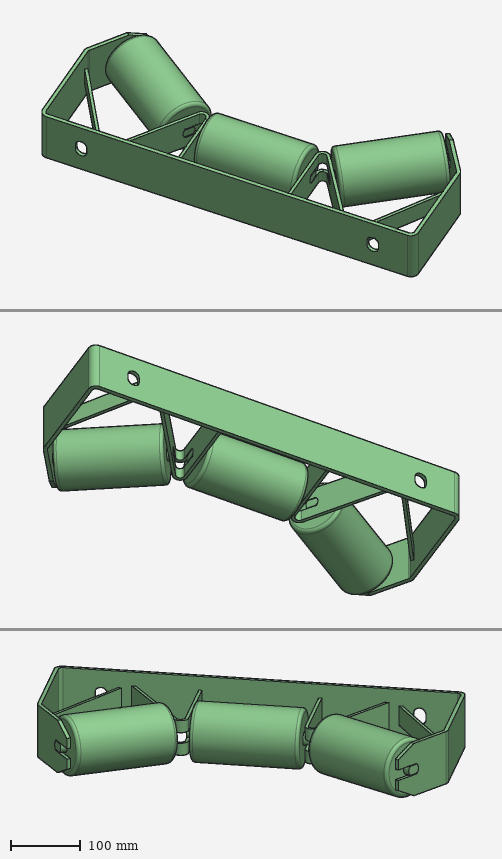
import cadquery as cq
import math

frame_length = 600.0
frame_height = 81.0
frame_thickness = 6.0
frame_bend_radius = 12.0
side_corner_y = 153.5
end_plate_length = 101.0
end_chamfer_along = 32.0
end_chamfer_height = 17.0
mount_slot_width = 18.0
mount_slot_height = 27.0
mount_slot_spacing = 465.5

roller_diameter = 89.0
roller_length = 161.0
roller_rounding = 5.5
roller_gap = 5.0
shaft_diameter = 20.0
shaft_flats = 14.0
shoulder_gap = 1.0
trough_angle = 35.0
forward_tilt = 2.5
center_roller_y = 99.0
wing_axis_along = 69.5
shaft_slot_width = 16.0

support_height = 54.0
support_thickness = 5.0
support_bend_radius = 11.5

brace_height = 30.0
brace_thickness = 5.0
brace_foot_x = -208.0
brace_top_y = 139.0

half_length = frame_length / 2
slope = math.radians(trough_angle)
axis_dir = cq.Vector(math.cos(slope), -math.sin(slope), 0)
plate_dir = cq.Vector(math.sin(slope), math.cos(slope), 0)
side_corner = cq.Vector(-half_length, side_corner_y, 0)
wing_start = side_corner + plate_dir * wing_axis_along
wing_inner_face = frame_thickness + 2 * roller_gap + roller_length
tilt = math.radians(forward_tilt)
center_axis_z = -math.sin(tilt) * wing_inner_face
support_face_x = -(roller_length / 2 + roller_gap)


def slab(points, height, z_middle=0.0):
    """Upright prism over a plan outline, centred on z_middle."""
    outline = cq.Workplane("XY").workplane(offset=z_middle - height / 2)
    return outline.polyline([(p.x, p.y) for p in points]).close().extrude(height)


def round_corner(body, corner, radius, z_middle=0.0):
    """Fillet the upright edge at one corner of the plan outline."""
    nearest = cq.selectors.NearestToPointSelector((corner.x, corner.y, z_middle))
    return body.edges("|Z").edges(nearest).fillet(radius)


def mirrored(body):
    return body.mirror("YZ")


def shaft_plane(start, direction):
    """Local Z runs along the shaft; local Y is the way out of its slots."""
    across = cq.Vector(0, 0, 1).cross(direction)
    upright = across.cross(direction)
    return cq.Plane(origin=start.toTuple(), xDir=upright.toTuple(), normal=direction.toTuple())


center_plane = shaft_plane(
    cq.Vector(support_face_x - support_thickness, center_roller_y, center_axis_z), cq.Vector(1, 0, 0)
)
wing_plane = shaft_plane(wing_start, axis_dir * math.cos(tilt) + cq.Vector(0, 0, -math.sin(tilt)))


def make_roller(plane, first_plate, last_plate):
    """Roller on a shaft that starts and ends flush with the far faces of its two plates."""
    shaft_length = first_plate + last_plate + 2 * roller_gap + roller_length
    drum = cq.Workplane(plane).workplane(offset=first_plate + roller_gap)
    drum = drum.circle(roller_diameter / 2).extrude(roller_length)
    drum = drum.edges("%CIRCLE").fillet(roller_rounding)
    shaft = cq.Workplane(plane).circle(shaft_diameter / 2).extrude(shaft_length)
    for flat_start, flat_length in (
        (0, first_plate + shoulder_gap),
        (shaft_length - last_plate - shoulder_gap, last_plate + shoulder_gap),
    ):
        end = cq.Workplane(plane).workplane(offset=flat_start)
        whole_end = end.circle(shaft_diameter).extrude(flat_length)
        kept_end = end.rect(shaft_flats, shaft_diameter).extrude(flat_length)
        shaft = shaft.cut(whole_end.cut(kept_end))
    return drum.union(shaft)


def shaft_slot(plane, start, length):
    """Cutter for a shaft slot: bottom round as the shaft, open upwards."""
    place = cq.Workplane(plane).workplane(offset=start)
    depth = roller_diameter
    strip = place.rect(shaft_slot_width, shaft_diameter).extrude(length)
    bottom = place.circle(shaft_diameter / 2).extrude(length).intersect(strip)
    opening = place.center(0, depth / 2).rect(shaft_slot_width, depth).extrude(length)
    return bottom.union(opening)


def make_frame():
    """Base, two sides and two sloping, chamfered ends that carry the wing shafts."""
    inside = side_corner + cq.Vector(frame_thickness, -frame_thickness * math.tan(slope / 2), 0)
    tip = side_corner + plate_dir * end_plate_length
    left_outer = [tip, side_corner, cq.Vector(-half_length, 0, 0)]
    left_inner = [
        cq.Vector(-half_length + frame_thickness, frame_thickness, 0),
        inside,
        tip + axis_dir * frame_thickness,
    ]

    def flip(points):
        return [cq.Vector(-p.x, p.y, 0) for p in reversed(points)]

    frame = slab(left_outer + flip(left_outer) + flip(left_inner) + left_inner, frame_height)
    inner_radius = frame_bend_radius - frame_thickness
    for outer, inner in ((left_outer[1], left_inner[1]), (left_outer[2], left_inner[0])):
        for side in (1, -1):
            frame = round_corner(frame, cq.Vector(side * outer.x, outer.y, 0), frame_bend_radius)
            frame = round_corner(frame, cq.Vector(side * inner.x, inner.y, 0), inner_radius)

    mount_slots = cq.Workplane("XZ").rarray(mount_slot_spacing, 6, 2, 1)
    mount_slots = mount_slots.slot2D(mount_slot_height, mount_slot_width, 90).extrude(-frame_thickness)
    frame = frame.cut(mount_slots)

    end_plane = cq.Plane(origin=tip.toTuple(), xDir=plate_dir.toTuple(), normal=axis_dir.toTuple())
    half_height = frame_height / 2
    for side in (1, -1):
        corner = cq.Workplane(end_plane).polyline([
            (0, side * half_height),
            (-end_chamfer_along, side * half_height),
            (0, side * (half_height - end_chamfer_height)),
        ]).close().extrude(frame_thickness)
        frame = frame.cut(corner).cut(mirrored(corner))

    slot = shaft_slot(wing_plane, -frame_thickness, 2 * frame_thickness + roller_gap)
    return frame.cut(slot).cut(mirrored(slot))


def make_support():
    """Left support: upright leg, arch and a leg that slopes down to the frame base."""
    upright_in_x = support_face_x - support_thickness
    slope_face = side_corner + axis_dir * wing_inner_face
    slope_in = slope_face + axis_dir * support_thickness

    def slope_at_y(start, y):
        return cq.Vector(start.x + (y - start.y) * math.tan(slope), y, 0)

    def slope_at_x(start, x):
        return cq.Vector(x, start.y + (x - start.x) / math.tan(slope), 0)

    outer_peak = slope_at_x(slope_face, support_face_x)
    inner_peak = slope_at_x(slope_in, upright_in_x)
    arch_drop = support_bend_radius / math.tan(slope / 2)
    arch_center_y = outer_peak.y - arch_drop
    base_y = frame_thickness
    support = slab([
        cq.Vector(support_face_x, base_y, 0),
        outer_peak,
        slope_at_y(slope_face, base_y),
        slope_at_y(slope_in, base_y),
        inner_peak,
        cq.Vector(upright_in_x, base_y, 0),
    ], support_height, center_axis_z)
    support = round_corner(support, outer_peak, support_bend_radius, center_axis_z)
    support = round_corner(support, inner_peak, support_bend_radius - support_thickness, center_axis_z)

    center_slot = shaft_slot(center_plane, 0, support_thickness)
    wing_slot_length = support_thickness + 2 * roller_gap
    wing_slot = shaft_slot(wing_plane, wing_inner_face - roller_gap, wing_slot_length)
    arch_width = 2 * support_bend_radius
    arch_slot = cq.Workplane("XY").box(
        arch_width, arch_width, shaft_slot_width, centered=(False, False, True)
    ).translate((support_face_x - arch_width, arch_center_y, center_axis_z))
    return support.cut(center_slot).cut(wing_slot).cut(arch_slot)


def make_brace():
    """Left brace: its foot is flush with the base, its square top leans on the side."""
    top = cq.Vector(-half_length + frame_thickness, brace_top_y, 0)
    foot = cq.Vector(brace_foot_x, frame_thickness, 0)
    along = (top - foot).normalized()
    across = cq.Vector(along.y, -along.x, 0)
    foot_width = cq.Vector(brace_thickness / along.y, 0, 0)
    return slab([foot, foot + foot_width, top + across * brace_thickness, top], brace_height)


frame = make_frame()
support = make_support()
brace = make_brace()
wing_roller = make_roller(wing_plane, frame_thickness, support_thickness)
center_roller = make_roller(center_plane, support_thickness, support_thickness)

bodies = [frame.val(), center_roller.val()]
for left_body in (support, brace, wing_roller):
    bodies += [left_body.val(), mirrored(left_body).val()]

result = cq.Compound.makeCompound(bodies)